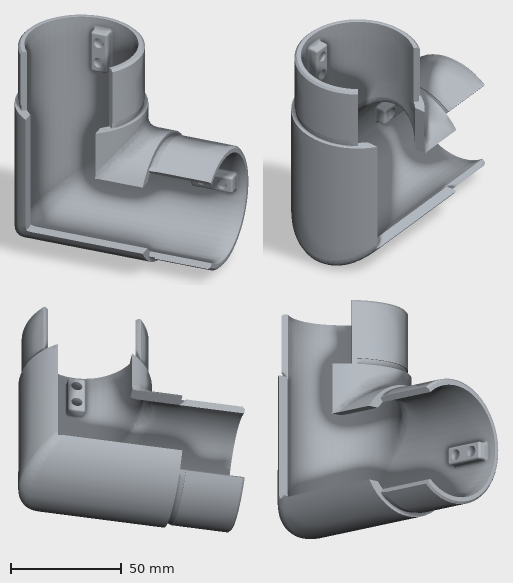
import cadquery as cq
import math

body_radius = 30.15
bore_radius = 25.7
body_reach = 40.0
leg_reach = 70.0
corner_radius = 5.0
rounded_mitre_fraction = 0.995

spigot_radius = 28.65
spigot_chamfer = 1.0
groove_radius = 28.15
groove_width = 3.0

body_slot_half_width = 17.0
spigot_slot_half_angle = 51.3

boss_width = 8.0
boss_length = 20.0
boss_face_y = 20.5
boss_fillet = 1.0
hole_diameter = 5.0
hole_pitch = 10.0

span = 4 * leg_reach
groove_end = body_reach + groove_width
boss_center = (body_reach + leg_reach) / 2


def mirrored_leg(upright):
    """Copy of a +Z leg feature for the +X leg, reflected in the mitre plane x = z."""
    return cq.Workplane(obj=upright.val().mirror(cq.Vector(1, 0, -1), (0, 0, 0)))


def disc(radius, start, end):
    """Round bar on the Z axis between two heights."""
    return cq.Workplane("XY").workplane(offset=start).circle(radius).extrude(end - start)


def mitred_elbow(radius, reach):
    """Solid round elbow whose mitre edge is rounded."""
    above_mitre = (
        cq.Workplane("XZ")
        .polyline([(-span, -span), (span, span), (-span, span)])
        .close()
        .extrude(span, both=True)
    )
    upright = disc(radius, -2 * radius, reach).intersect(above_mitre)
    sharp = upright.union(mirrored_leg(upright))
    middle = cq.Workplane("XY").box(span, 2 * radius * rounded_mitre_fraction, span)
    rounded = sharp.intersect(middle).edges("%ELLIPSE").fillet(corner_radius)
    return sharp.cut(middle).union(rounded)


def spigot():
    """Reduced end of the upright leg, with a relief groove next to the body."""
    end = disc(spigot_radius, groove_end, leg_reach).faces(">Z").chamfer(spigot_chamfer)
    return end.union(disc(groove_radius, 0, groove_end))


def body_slot():
    """Parallel-sided opening along the -Y side of the upright leg."""
    width = 2 * body_slot_half_width
    height = body_reach + body_slot_half_width
    return (
        cq.Workplane("XY")
        .box(width, span, height, centered=(True, False, False))
        .translate((0, -span, -body_slot_half_width))
    )


def spigot_slot():
    """Opening of the spigot with radial side walls."""
    half_width = span * math.tan(math.radians(spigot_slot_half_angle))
    return (
        cq.Workplane("XY")
        .workplane(offset=body_reach)
        .polyline([(0, 0), (-half_width, -span), (half_width, -span)])
        .close()
        .extrude(leg_reach)
    )


def boss():
    """Screw pad on the far (+Y) wall of the upright leg, rounded all over, with its root inside the wall."""
    wall_middle = (bore_radius + groove_radius) / 2
    depth = wall_middle - boss_face_y
    return (
        cq.Workplane("XY")
        .box(boss_width, depth, boss_length, centered=(True, False, True))
        .edges("|Y or <Y")
        .fillet(boss_fillet)
        .translate((0, boss_face_y, boss_center))
    )


def round_boss_seam(shell, center):
    """Blend into the bore the screw pad whose middle lies at the given (x, z)."""
    center_x, center_z = center
    reach = boss_length / 2 + boss_fillet
    seam_zone = cq.selectors.BoxSelector(
        (center_x - reach, boss_face_y + 2 * boss_fillet, center_z - reach),
        (center_x + reach, bore_radius + boss_fillet, center_z + reach),
        boundingbox=True,
    )
    return shell.edges(seam_zone).fillet(boss_fillet)


def screw_holes():
    """Pair of holes through the screw pad and the wall of the upright leg."""
    return (
        cq.Workplane("XZ", origin=(0, 0, boss_center))
        .rarray(1, hole_pitch, 1, 2)
        .circle(hole_diameter / 2)
        .extrude(-span)
    )


def add_to_both_legs(shell, feature):
    """Join an upright-leg feature and its mirrored copy."""
    return shell.union(feature).union(mirrored_leg(feature))


def cut_from_both_legs(shell, feature):
    """Remove an upright-leg feature and its mirrored copy."""
    return shell.cut(feature).cut(mirrored_leg(feature))


part = add_to_both_legs(mitred_elbow(body_radius, body_reach), spigot())
part = part.cut(mitred_elbow(bore_radius, leg_reach))

for opening in (body_slot(), spigot_slot()):
    part = cut_from_both_legs(part, opening)

part = add_to_both_legs(part, boss())
for pad_center in ((0, boss_center), (boss_center, 0)):
    part = round_boss_seam(part, pad_center)

result = cut_from_both_legs(part, screw_holes())